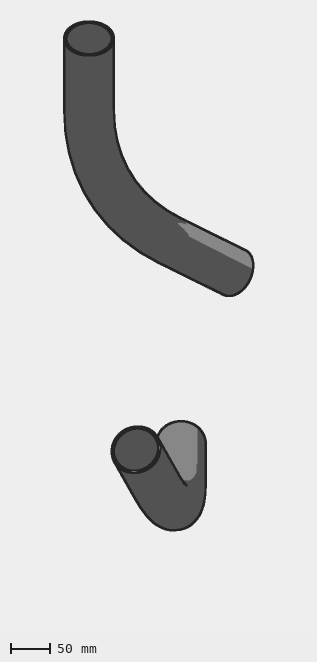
import cadquery as cq
import math

outer_diameter = 63.5
inner_diameter = 57.5
leg_length = 126.5
bend_angle = 45
overall_height = 508.5

bend_sine = math.sin(math.radians(bend_angle))
bend_cosine = math.cos(math.radians(bend_angle))
legs_height = leg_length * (1 + bend_cosine)
end_rim_drop = outer_diameter / 2 * bend_sine
bend_radius = (overall_height - legs_height - end_rim_drop) / bend_sine


def bend_point(angle_degrees):
    """Y and Z of the bend centreline after turning through an angle."""
    angle = math.radians(angle_degrees)
    return (
        bend_radius * (1 - math.cos(angle)),
        -leg_length - bend_radius * math.sin(angle),
    )


bend_end_y, bend_end_z = bend_point(bend_angle)
lower_end = (
    bend_end_y + leg_length * bend_sine,
    bend_end_z - leg_length * bend_cosine,
)
centreline = (
    cq.Workplane("YZ")
    .lineTo(0, -leg_length)
    .threePointArc(bend_point(bend_angle / 2), (bend_end_y, bend_end_z))
    .lineTo(*lower_end)
)

result = (
    cq.Workplane("XY")
    .circle(outer_diameter / 2)
    .circle(inner_diameter / 2)
    .sweep(centreline)
)